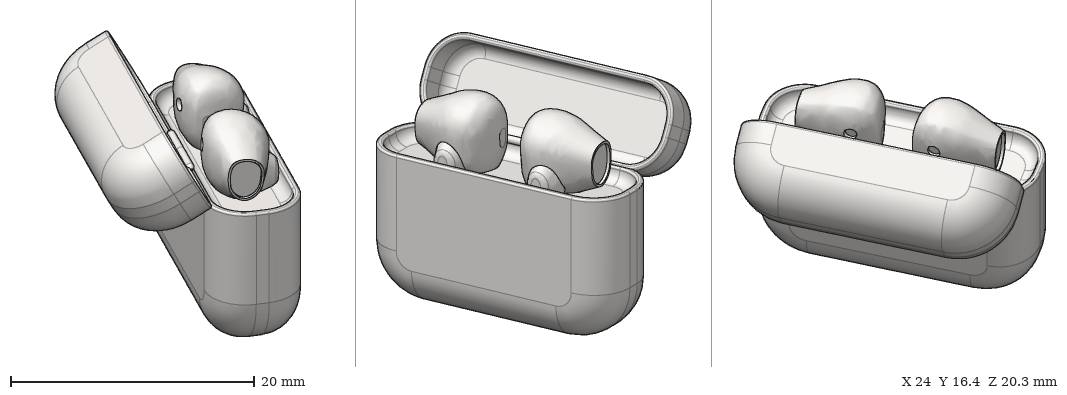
import cadquery as cq
case_width = 24.0
case_depth = 8.1
base_height = 13.5
lid_height = 7.0
profile_corner_radius = 5.0
edge_roll_radius = 3.5
wall = 0.6
rim_rounding = 0.2

tray_depth = 1.27
lid_cavity_depth = 3.34
cavity_floor_radius = 1.05

lid_tilt = 28.5
lid_corner_y = -3.6
lid_corner_z = -0.26

hinge_diameter = 0.7
hinge_length = 6.86
hinge_y = -3.75
hinge_z = 0.05
hinge_nose_length = 0.53
hinge_end_diameter = 0.2

bud_outline = [
    (1.0, 0.15), (0.62, 0.82), (-0.05, 1.0), (-0.68, 0.88),
    (-1.0, 0.1), (-0.75, -0.66), (0.0, -1.0), (0.75, -0.66),
]
bud_sections = [
    (8.57, 1.54, -0.48, 1.92),
    (7.32, 1.97, -0.4, 2.45),
    (5.88, 2.45, -0.3, 3.15),
    (4.08, 2.8, -0.2, 3.62),
    (2.4, 2.35, -0.3, 3.35),
    (1.78, 1.73, -0.6, 2.74),
    (1.35, 0.48, -1.0, 0.85),
]
bud_centre_z = 1.35
dish_depth = 0.3
dish_rim = 0.2

nozzle_x = 4.54
nozzle_z = -0.3
nozzle_root_y = 1.45
nozzle_tip_y = 3.25
nozzle_root_radii = (1.73, 2.65)
nozzle_tip_radii = (0.86, 1.1)
nozzle_rounding = 0.62

sensor_x = 3.58
sensor_z = 2.38
sensor_diameter = 1.08
sensor_floor_y = -2.6


def case_half(height, cavity_depth):
    """A hollow half case with its rim in the plane Z = 0 and its rounded end at Z = -height."""
    block = (
        cq.Workplane("XZ")
        .rect(case_width, 2 * height)
        .extrude(case_depth / 2, both=True)
        .edges("|Y").fillet(profile_corner_radius)
        .faces("<Y or >Y").edges().fillet(edge_roll_radius)
    )
    upper_half = (
        cq.Workplane("XY")
        .rect(case_width, case_depth)
        .extrude(height)
    )
    cavity = (
        cq.Workplane("XY")
        .rect(case_width - 2 * wall, case_depth - 2 * wall)
        .extrude(-cavity_depth)
        .edges("|Z").fillet(edge_roll_radius - wall)
        .faces("<Z").edges().fillet(cavity_floor_radius)
    )
    half = block.cut(upper_half).cut(cavity)
    return half.faces(">Z").edges().fillet(rim_rounding)


def open_lid():
    lid = case_half(lid_height, lid_cavity_depth)
    return (
        lid.translate((0, -case_depth / 2, 0))
        .rotate((0, 0, 0), (1, 0, 0), lid_tilt - 90)
        .translate((0, lid_corner_y, lid_corner_z))
    )


def hinge_pin():
    radius = hinge_diameter / 2
    half_length = hinge_length / 2
    half_pin = (
        cq.Workplane("XY")
        .moveTo(0, radius)
        .lineTo(half_length - hinge_nose_length, radius)
        .tangentArcPoint((half_length, hinge_end_diameter / 2), relative=False)
        .lineTo(half_length, 0)
        .lineTo(0, 0)
        .close()
        .revolve(360, (0, 0, 0), (1, 0, 0))
    )
    return half_pin.union(half_pin.mirror("YZ")).translate((0, hinge_y, hinge_z))


def bud_section(distance, half_width, centre_y, half_height):
    """A closed wire of the bud's outline in the plane X = distance."""
    plane = cq.Plane(origin=(distance, centre_y, bud_centre_z), xDir=(0, 1, 0), normal=(1, 0, 0))
    points = [(half_width * y, half_height * z) for y, z in bud_outline]
    return cq.Workplane(plane).spline(points, periodic=True).wire().val()


def bud_shell():
    return cq.Workplane(cq.Solid.makeLoft([bud_section(*section) for section in bud_sections]))


def bud_dish():
    distance, half_width, centre_y, half_height = bud_sections[0]
    outline = bud_section(distance, half_width - dish_rim, centre_y, half_height - dish_rim)
    return cq.Workplane(cq.Solid.extrudeLinear(outline, [], cq.Vector(-dish_depth, 0, 0)))


def bud_nozzle():
    return (
        cq.Workplane("XZ", origin=(nozzle_x, nozzle_root_y, nozzle_z))
        .ellipse(*nozzle_root_radii)
        .workplane(offset=nozzle_root_y - nozzle_tip_y)
        .ellipse(*nozzle_tip_radii)
        .loft()
        .faces(">Y").edges().fillet(nozzle_rounding)
    )


def sensor_recess():
    """A round recess sunk into the bud's -Y side down to a flat floor."""
    return (
        cq.Workplane("XZ", origin=(sensor_x, sensor_floor_y, sensor_z))
        .circle(sensor_diameter / 2)
        .extrude(case_depth / 2)
    )


def earbud(side):
    """One earbud; side is 1 for the bud at +X and -1 for its mirror image at -X."""
    bud = bud_shell().union(bud_nozzle()).cut(bud_dish()).cut(sensor_recess())
    if side < 0:
        bud = bud.mirror("YZ")
    return bud


hinge = hinge_pin()
lid = open_lid().cut(hinge)
earbuds = [earbud(side) for side in (-1, 1)]

base = case_half(base_height, tray_depth)
for seated_body in (hinge, lid, *earbuds):
    base = base.cut(seated_body)

result = cq.Compound.makeCompound([
    base.val(),
    lid.val(),
    hinge.val(),
    *[bud.val() for bud in earbuds],
])